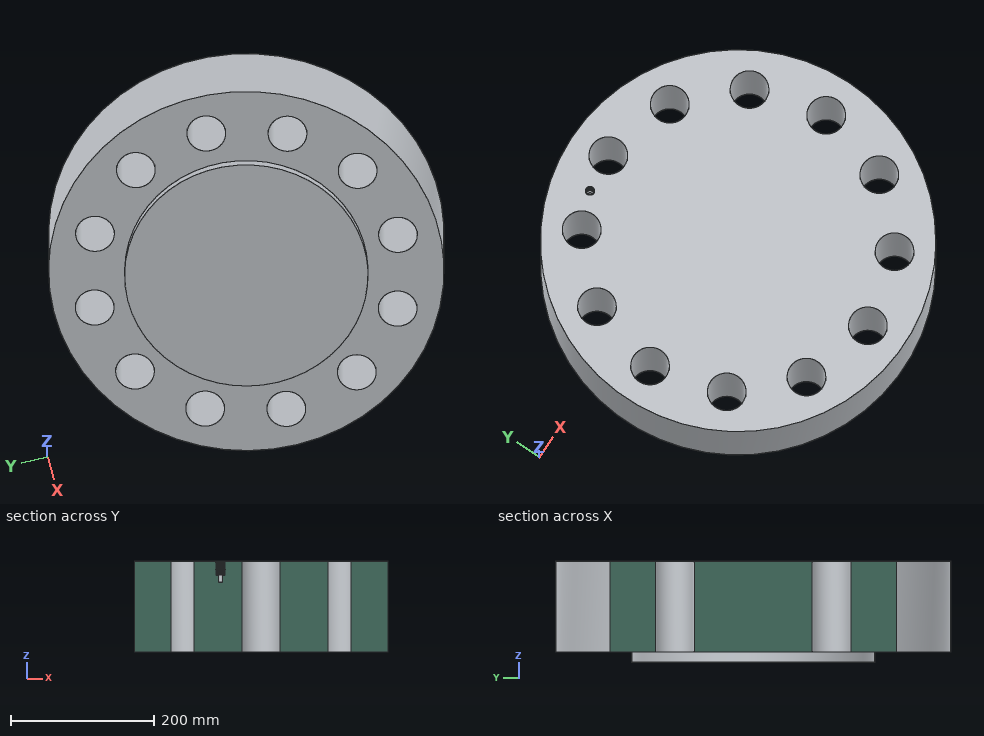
import cadquery as cq
import math

flange_diameter = 552.45
total_height = 141.3
raised_face_diameter = 340.0
raised_face_height = 14.3
flange_thickness = total_height - raised_face_height

bolt_count = 12
bolt_circle_diameter = 438.0
bolt_hole_diameter = 54.0

tapped_hole_angle = 90 + 360 / bolt_count / 2
thread_major_diameter = 12.7
thread_minor_diameter = 10.4
thread_pitch = 1.95
thread_turns = 10
pilot_diameter = 5.2
pilot_depth = 10.0


def flange_body():
    """Raised face standing on Z = 0 with the flange disc on top of it."""
    return (
        cq.Workplane("XY")
        .circle(raised_face_diameter / 2)
        .extrude(raised_face_height)
        .faces(">Z")
        .workplane()
        .circle(flange_diameter / 2)
        .extrude(flange_thickness)
    )


def bolt_holes():
    """Through holes evenly spaced on the bolt circle, the first on the X axis."""
    return (
        cq.Workplane("XY")
        .polarArray(bolt_circle_diameter / 2, 0, 360, bolt_count)
        .circle(bolt_hole_diameter / 2)
        .extrude(total_height)
    )


def tapped_hole():
    """Blind hole in the top face: ring-shaped V threads, then a narrower pilot bore."""
    major_radius = thread_major_diameter / 2
    minor_radius = thread_minor_diameter / 2
    pilot_radius = pilot_diameter / 2
    thread_depth = thread_turns * thread_pitch
    hole_depth = thread_depth + pilot_depth

    profile = cq.Workplane("XZ").lineTo(major_radius, 0)
    for turn in range(thread_turns):
        crest_depth = (turn + 0.5) * thread_pitch
        root_depth = (turn + 1) * thread_pitch
        profile = profile.lineTo(minor_radius, -crest_depth)
        profile = profile.lineTo(major_radius, -root_depth)
    profile = (
        profile.lineTo(pilot_radius, -thread_depth)
        .lineTo(pilot_radius, -hole_depth)
        .lineTo(0, -hole_depth)
        .close()
    )

    angle = math.radians(tapped_hole_angle)
    center_x = bolt_circle_diameter / 2 * math.cos(angle)
    center_y = bolt_circle_diameter / 2 * math.sin(angle)
    hole = profile.revolve(360, (0, 0, 0), (0, 1, 0))
    return hole.translate((center_x, center_y, total_height))


result = flange_body().cut(bolt_holes()).cut(tapped_hole())